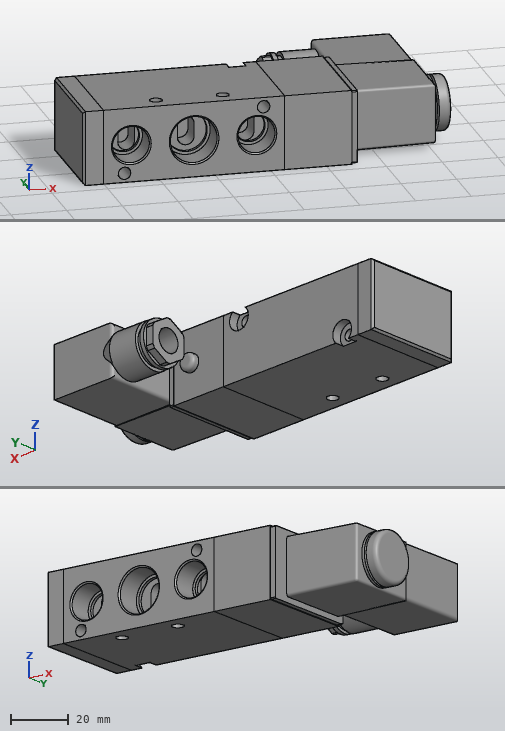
import cadquery as cq
import math


WIDTH = 40.0
HEIGHT = 27.0

CAP_END = 7.3
BODY_END = 72.3
PILOT_END = 96.5
FLANGE_END = 98.5
COIL_END = 128.5
OVERALL_LENGTH = 134.9

CAP_CHAMFER = 0.8

PORT_MID_X = (CAP_END + BODY_END) / 2
PORT_PITCH = 22.5
SIDE_PORT_RADIUS = 6.6
MID_PORT_RADIUS = 8.4
PORT_STEP = 1.1
PORT_CHAMFER = 0.5
PORT_DEPTH = 10.0
PORT_STEP_DEPTH = 1.3
SLOT_PITCH = 21.5
SLOT_WIDTH = 6.0
SLOT_HEIGHT = 10.5
SLOT_FLOOR_Y = WIDTH / 2

FIXING_DIAMETER = 4.5
FIXING_OFFSET_X = 25.0
FIXING_OFFSET_Z = 10.1
FIXING_BORE_DIAMETER = 9.0
FIXING_BORE_DEPTH = 3.8
CROSS_HOLE_OFFSET_X = 12.0
CROSS_HOLE_Y = 6.6

FLANGE_INSET = 0.3
FLANGE_CHAMFER = 0.4
BUTTON_X = 87.7
BUTTON_DIAMETER = 7.0
BUTTON_HEIGHT = 3.0
BUTTON_ROUND = 1.5

COIL_MID_Y = 22.0
COIL_WIDTH = 30.1
COIL_HEIGHT = 22.0
COIL_TAPER = 0.6
COIL_ROUND = 1.0

CONNECTOR_START = 99.2
CONNECTOR_END = 128.2
CONNECTOR_TOP_Y = 67.7
CONNECTOR_HEIGHT = 21.0
CONNECTOR_ROUND = 1.3

GLAND_Y = 59.9
GLAND_RADIUS = 9.3
GLAND_TIP_X = 79.6
HEX_END = 82.8
RIM_END = 84.6
NECK_END = 86.6
GLAND_CONE_END = 103.5
RIM_RADIUS = 9.2
NECK_RADIUS = 8.0
GLAND_CONE_RADIUS = 7.8
HEX_ACROSS_FLATS = 15.5
HEX_TRIM_RADIUS = 8.5
CABLE_HOLE_RADIUS = 4.7
CABLE_HOLE_DEPTH = 13.5

NUT_RADIUS = 10.0
NUT_WASHER_END = 129.6
NUT_START = 130.5
NUT_NECK_RADIUS = 7.3
NUT_ROUND = 1.6


def block(x_start, x_end, inset=0.0):
    """Box with the shared section between two stations along X."""
    length = x_end - x_start
    return (
        cq.Workplane("XY")
        .box(length, WIDTH - 2 * inset, HEIGHT - 2 * inset)
        .translate((x_start + length / 2, WIDTH / 2, 0))
    )


def rod_x(x_start, x_end, radius, y):
    """Cylinder along X between two stations."""
    return (
        cq.Workplane("YZ", origin=(x_start, y, 0))
        .circle(radius)
        .extrude(x_end - x_start)
    )


def rod_y(y_start, y_end, radius, x, z):
    """Cylinder along +Y between two distances from the port face."""
    return (
        cq.Workplane("XZ", origin=(x, y_start, z))
        .circle(radius)
        .extrude(y_start - y_end)
    )


def make_end_cap():
    return block(0, CAP_END).faces("<X").chamfer(CAP_CHAMFER)


def port_cutter(port_x, slot_x, radius):
    """Stepped, chamfered port with a vertical slot leading to the valve bore."""
    step_end = PORT_DEPTH + PORT_STEP_DEPTH
    mouth_radius = radius + PORT_CHAMFER
    profile = [
        (0, 0),
        (mouth_radius, 0),
        (radius, PORT_CHAMFER),
        (radius, PORT_DEPTH),
        (radius - PORT_STEP, PORT_DEPTH),
        (radius - PORT_STEP, step_end),
        (0, step_end),
    ]
    bore = (
        cq.Workplane("XY")
        .polyline(profile)
        .close()
        .revolve(360, (0, 0, 0), (0, 1, 0))
        .translate((port_x, 0, 0))
    )
    slot = (
        cq.Workplane("XZ", origin=(slot_x, PORT_DEPTH, 0))
        .slot2D(SLOT_HEIGHT, SLOT_WIDTH, 90)
        .extrude(PORT_DEPTH - SLOT_FLOOR_Y)
    )
    return bore.union(slot)


def make_valve_body():
    body = block(CAP_END, BODY_END)

    body = body.cut(port_cutter(PORT_MID_X, PORT_MID_X, MID_PORT_RADIUS))
    for side in (-1, 1):
        port_x = PORT_MID_X + side * PORT_PITCH
        slot_x = PORT_MID_X + side * SLOT_PITCH
        body = body.cut(port_cutter(port_x, slot_x, SIDE_PORT_RADIUS))

    for side in (-1, 1):
        x = PORT_MID_X + side * FIXING_OFFSET_X
        z = side * FIXING_OFFSET_Z
        body = body.cut(rod_y(0, WIDTH, FIXING_DIAMETER / 2, x, z))
        body = body.cut(rod_y(WIDTH - FIXING_BORE_DEPTH, WIDTH, FIXING_BORE_DIAMETER / 2, x, z))

    for side in (-1, 1):
        x = PORT_MID_X + side * CROSS_HOLE_OFFSET_X
        hole = (
            cq.Workplane("XY", origin=(x, CROSS_HOLE_Y, 0))
            .circle(FIXING_DIAMETER / 2)
            .extrude(HEIGHT, both=True)
        )
        body = body.cut(hole)
    return body


def make_pilot_block():
    main = block(BODY_END, PILOT_END)
    flange = (
        block(PILOT_END, FLANGE_END, FLANGE_INSET)
        .edges("|X")
        .chamfer(FLANGE_CHAMFER)
    )
    button = (
        rod_y(WIDTH, WIDTH + BUTTON_HEIGHT, BUTTON_DIAMETER / 2, BUTTON_X, 0)
        .faces(">Y")
        .edges()
        .fillet(BUTTON_ROUND)
    )
    return main.union(flange).union(button)


def make_coil():
    return (
        cq.Workplane("YZ", origin=(FLANGE_END, COIL_MID_Y, 0))
        .rect(COIL_WIDTH, COIL_HEIGHT)
        .extrude(COIL_END - FLANGE_END, taper=COIL_TAPER)
        .faces("<Y or >X")
        .edges("not <X")
        .fillet(COIL_ROUND)
    )


def make_connector():
    length = CONNECTOR_END - CONNECTOR_START
    return (
        cq.Workplane("XY")
        .box(length, CONNECTOR_TOP_Y - COIL_MID_Y, CONNECTOR_HEIGHT)
        .translate((CONNECTOR_START + length / 2, (CONNECTOR_TOP_Y + COIL_MID_Y) / 2, 0))
        .faces("<X or >X")
        .edges("not <Y")
        .fillet(CONNECTOR_ROUND)
    )


def make_gland():
    """Cable gland: trimmed hexagon, rim, neck and a barrel with a conical root."""
    corner_diameter = HEX_ACROSS_FLATS / math.cos(math.pi / 6)
    hexagon = (
        cq.Workplane("YZ", origin=(GLAND_TIP_X, GLAND_Y, 0))
        .transformed(rotate=(0, 0, 90))
        .polygon(6, corner_diameter)
        .extrude(HEX_END - GLAND_TIP_X)
        .intersect(rod_x(GLAND_TIP_X, HEX_END, HEX_TRIM_RADIUS, GLAND_Y))
    )
    profile = [
        (HEX_END, 0),
        (HEX_END, RIM_RADIUS),
        (RIM_END, RIM_RADIUS),
        (RIM_END, NECK_RADIUS),
        (NECK_END, NECK_RADIUS),
        (NECK_END, GLAND_RADIUS),
        (CONNECTOR_START, GLAND_RADIUS),
        (GLAND_CONE_END, GLAND_CONE_RADIUS),
        (GLAND_CONE_END, 0),
    ]
    barrel = (
        cq.Workplane("XY")
        .polyline(profile)
        .close()
        .revolve(360, (0, 0, 0), (1, 0, 0))
        .translate((0, GLAND_Y, 0))
    )
    return hexagon.union(barrel)


def make_nut():
    """Round coil nut with a washer, standing on the +X end of the coil."""
    y = WIDTH / 2
    washer = rod_x(COIL_END - COIL_ROUND, NUT_WASHER_END, NUT_RADIUS, y)
    neck = rod_x(NUT_WASHER_END, NUT_START, NUT_NECK_RADIUS, y)
    head = rod_x(NUT_START, OVERALL_LENGTH, NUT_RADIUS, y).faces(">X").edges().fillet(NUT_ROUND)
    return washer.union(neck).union(head)


def make_solenoid():
    cable_hole = rod_x(GLAND_TIP_X, GLAND_TIP_X + CABLE_HOLE_DEPTH, CABLE_HOLE_RADIUS, GLAND_Y)
    return (
        make_coil()
        .union(make_connector())
        .union(make_gland())
        .union(make_nut())
        .cut(cable_hole)
    )


end_cap = make_end_cap()
valve_body = make_valve_body()
pilot_block = make_pilot_block()
solenoid = make_solenoid()

result = cq.Compound.makeCompound(
    [end_cap.val(), valve_body.val(), pilot_block.val(), solenoid.val()]
)